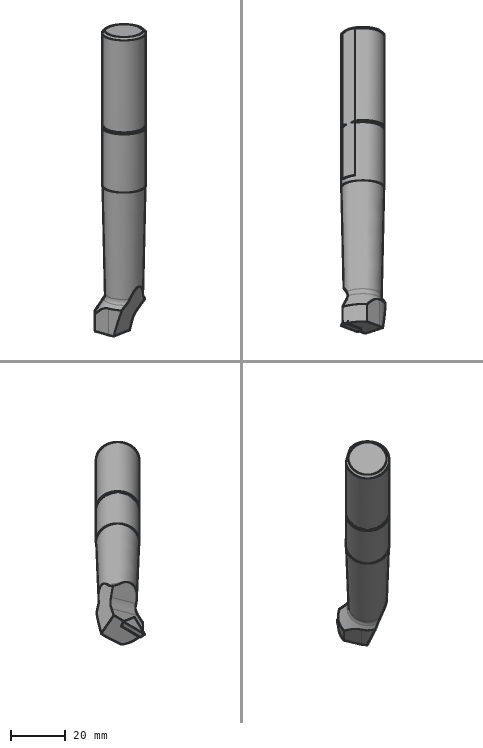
import cadquery as cq
import math

total_length = 117
overall_width = 19.5
overall_depth = 16.5
oversize = 46.8

shank_radius = 16.0 / 2
shank_bottom = 56.9
top_chamfer_width = 1.0
top_chamfer_height = 0.9
groove_height = 80.0
groove_depth = 0.53
groove_half_width = 0.41
flat_half_width = 3.2
flat_bottom = 59.1

neck_top_radius = 15.8 / 2
neck_bottom_radius = 14.0 / 2
neck_bottom = 15.0

head_bottom = 0.8
head_radius = 10.8
flare_bottom = 7.6
flare_top = 12.9
flare_angle = 32.2
flare_top_radius = head_radius - (flare_top - flare_bottom) * math.tan(math.radians(flare_angle))
side_distance = overall_depth - shank_radius

back_angle = 15.3
back_bottom_x = 2.1

tip_x = shank_radius - overall_width
rake_angle = 3.3
flute_height = 9.4
flute_run_angle = 28.0
flute_angle = 41.0
flute_fillet = 7.0

insert_side = 9.5
insert_corner_angle = 60
insert_thickness = 2.2
insert_relief = 8.5
insert_tilt = 1.5

rake_normal = cq.Vector(
    -math.sin(math.radians(rake_angle)), math.cos(math.radians(rake_angle)), 0
)
rake_along = cq.Vector(rake_normal.y, -rake_normal.x, 0)


def make_bar_blank():
    """Revolved shank, neck and head."""
    outline = (
        cq.Workplane("XZ")
        .moveTo(0, head_bottom)
        .lineTo(head_radius, head_bottom)
        .lineTo(head_radius, flare_bottom)
        .lineTo(flare_top_radius, flare_top)
        .tangentArcPoint((neck_bottom_radius, neck_bottom), relative=False)
        .lineTo(neck_top_radius, shank_bottom)
        .lineTo(shank_radius, shank_bottom)
        .lineTo(shank_radius, groove_height - groove_half_width)
        .lineTo(shank_radius - groove_depth, groove_height)
        .lineTo(shank_radius, groove_height + groove_half_width)
        .lineTo(shank_radius, total_length - top_chamfer_height)
        .lineTo(shank_radius - top_chamfer_width, total_length)
        .lineTo(0, total_length)
        .close()
    )
    return outline.revolve(360, (0, 0, 0), (0, 1, 0))


def make_shank_flat():
    """Cutter for the clamping flat on the -X side of the shank."""
    flat_x = -math.sqrt(shank_radius**2 - flat_half_width**2)
    return (
        cq.Workplane("XY", origin=(flat_x - oversize / 2, 0, flat_bottom))
        .rect(oversize, oversize)
        .extrude(total_length - flat_bottom)
    )


def make_head_envelope():
    """Bar passage: flat on the -Y side, rounded towards +X, open towards -X and +Y."""
    return (
        cq.Workplane("XY")
        .moveTo(-oversize, -side_distance)
        .lineTo(0, -side_distance)
        .radiusArc((side_distance, 0), -side_distance)
        .lineTo(side_distance, oversize)
        .lineTo(-oversize, oversize)
        .close()
        .extrude(total_length)
    )


def make_back_cut():
    """Cutter that slopes the +X side of the head inwards towards the bottom."""
    run = oversize * math.tan(math.radians(back_angle))
    return (
        cq.Workplane("XZ")
        .moveTo(back_bottom_x, head_bottom)
        .lineTo(back_bottom_x + run, head_bottom + oversize)
        .lineTo(back_bottom_x + run, head_bottom)
        .close()
        .extrude(oversize, both=True)
    )


def make_flute():
    """Cutter for the rake face and the chip flute, with a rounded corner between them."""
    slope = math.radians(flute_run_angle)
    run_direction = rake_along * math.cos(slope) - cq.Vector(0, 0, 1) * math.sin(slope)
    corner = cq.Vector(0, -tip_x * math.tan(math.radians(rake_angle)), flute_height)
    turn = math.radians(flute_angle)
    tangent_length = flute_fillet * math.tan(turn / 2)
    fillet_end = (tangent_length * math.sin(turn), tangent_length * math.cos(turn))
    section = cq.Plane(origin=corner, xDir=rake_normal, normal=run_direction)
    return (
        cq.Workplane(section)
        .moveTo(0, -oversize)
        .lineTo(0, -tangent_length)
        .tangentArcPoint(fillet_end, relative=False)
        .lineTo(oversize * math.sin(turn), oversize * math.cos(turn))
        .lineTo(oversize, -oversize)
        .close()
        .extrude(oversize, both=True)
    )


def make_insert():
    """Triangular cutting insert, flush with the rake face, with relieved flanks."""
    face = cq.Plane(origin=(tip_x, 0, 0), xDir=rake_along, normal=rake_normal * -1)
    corners = [(0, 0)]
    for direction in (insert_tilt, insert_tilt + insert_corner_angle):
        angle = math.radians(direction)
        corners.append((insert_side * math.cos(angle), insert_side * math.sin(angle)))
    outline = cq.Workplane(face).polyline(corners).close()
    return outline.extrude(insert_thickness, taper=insert_relief)


insert = make_insert()
bar = (
    make_bar_blank()
    .intersect(make_head_envelope())
    .cut(make_shank_flat())
    .cut(make_back_cut())
    .cut(make_flute())
    .cut(insert)
)
result = cq.Compound.makeCompound([bar.val(), insert.val()])